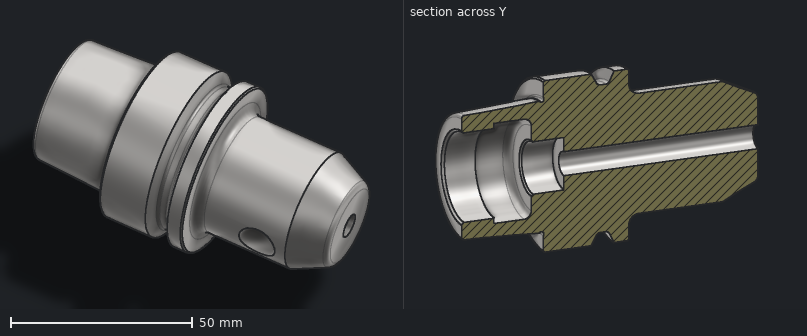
import cadquery as cq
import math

total_length = 89.9
small_end_x = -total_length / 2
match_tolerance = 0.01

taper_slope = 0.05
taper_end_radius = 18.1
taper_length = 22.8
taper_large_radius = taper_end_radius + taper_slope * taper_length
taper_end_fillet = 1.0

land_end = 23.7
neck_start = 24.0
neck_radius = 18.9
undercut_fillet = 0.5
undercut_depth = 0.3
undercut_outer_radius = 20.1

flange_start = 24.8
flange_end = 50.8
flange_radius = 25.0
flange_chamfer = 0.45
groove_start = 39.4
groove_floor_start = 41.35
groove_floor_end = 44.5
groove_end = 46.2
groove_floor_radius = 21.5
groove_floor_fillet = 1.0

nose_radius = 17.5
nose_root_fillet = 3.0
nose_cone_start = 79.2
nose_end_radius = 12.5
nose_end_fillet = 2.2

bore_radius = 12.95
bore_chamfer = 0.7
bore_length = 10.0
recess_radius = 14.5
recess_end = 21.1
recess_fillet = 2.2

socket_radius = 7.55
socket_chamfer = 0.5
socket_length = 9.9
passage_radius = 3.4

dimple_radius = 5.9
dimple_axial = 70.4
dimple_offset = 19.4


def at(distance, radius):
    """Profile point at a distance from the small end and a radius from the axis."""
    return (small_end_x + distance, radius)


def revolved(points):
    """Solid of revolution about X from a closed profile."""
    return cq.Workplane("XY").polyline(points).close().revolve(360, (0, 0, 0), (1, 0, 0))


def corner(distance, radius):
    """Test that picks the circular edge at this distance and radius."""
    def is_match(edge):
        start = edge.startPoint()
        distance_error = abs(start.x - small_end_x - distance)
        radius_error = abs(math.hypot(start.y, start.z) - radius)
        return max(distance_error, radius_error) < match_tolerance
    return is_match


def round_corner(body, distance, radius, fillet):
    """Fillet the circular edge at this distance and radius."""
    return body.edges().filter(corner(distance, radius)).fillet(fillet)


def make_blank():
    """Outside shape: shank, undercut, grooved flange and nose."""
    body = revolved([
        at(0, 0),
        at(0, taper_end_radius),
        at(taper_length, taper_large_radius),
        at(land_end, taper_large_radius),
        at(neck_start, neck_radius),
        at(flange_start + undercut_depth, neck_radius),
        at(flange_start, undercut_outer_radius),
        at(flange_start, flange_radius - flange_chamfer),
        at(flange_start + flange_chamfer, flange_radius),
        at(groove_start, flange_radius),
        at(groove_floor_start, groove_floor_radius),
        at(groove_floor_end, groove_floor_radius),
        at(groove_end, flange_radius),
        at(flange_end - flange_chamfer, flange_radius),
        at(flange_end, flange_radius - flange_chamfer),
        at(flange_end, nose_radius),
        at(nose_cone_start, nose_radius),
        at(total_length, nose_end_radius),
        at(total_length, 0),
    ])
    body = round_corner(body, 0, taper_end_radius, taper_end_fillet)
    body = round_corner(body, flange_start + undercut_depth, neck_radius, undercut_fillet)
    body = round_corner(body, groove_floor_start, groove_floor_radius, groove_floor_fillet)
    body = round_corner(body, groove_floor_end, groove_floor_radius, groove_floor_fillet)
    body = round_corner(body, flange_end, nose_radius, nose_root_fillet)
    return round_corner(body, total_length, nose_end_radius, nose_end_fillet)


def make_bore():
    """Hollow along the axis, from the chamfered bore mouth to the through passage."""
    socket_end = recess_end + socket_length
    bore = revolved([
        at(0, 0),
        at(0, bore_radius + bore_chamfer),
        at(bore_chamfer, bore_radius),
        at(bore_length, bore_radius),
        at(bore_length, recess_radius),
        at(recess_end, recess_radius),
        at(recess_end, socket_radius + socket_chamfer),
        at(recess_end + socket_chamfer, socket_radius),
        at(socket_end, socket_radius),
        at(socket_end, passage_radius),
        at(total_length, passage_radius),
        at(total_length, 0),
    ])
    return round_corner(bore, recess_end, recess_radius, recess_fillet)


def make_holder():
    """Blank with the bore and the two side dimples removed."""
    body = make_blank().cut(make_bore())
    for side in (-1, 1):
        dimple = cq.Workplane("XY").sphere(dimple_radius)
        body = body.cut(dimple.translate((small_end_x + dimple_axial, side * dimple_offset, 0)))
    return body


holder = make_holder()
result = cq.Compound.makeCompound([holder.val()])